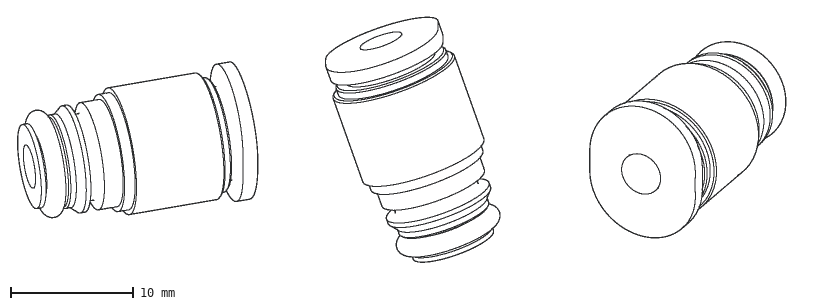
import cadquery as cq
import math


BORE_DIAMETER = 3.6
TIP_DIAMETER = 7.0
SEAL_GROOVE_DIAMETER = 5.6
SEAL_DIAMETER = 8.93
SEAL_SIDE_DIAMETER = 7.8
SEAL_WIDTH = 1.3
BARB_FRONT_DIAMETER = 7.8
SPIGOT_DIAMETER = 8.93
CLIP_GROOVE_DIAMETER = 7.2
STEP_DIAMETER = 9.75
BODY_DIAMETER = 10.55
COLLAR_DIAMETER = 9.55
NECK_DIAMETER = 7.75

TIP_END = 0.4
SEAL_GROOVE_END = 2.25
BARB_CONE_START = 2.87
BARB_CONE_END = 3.55
CLIP_GROOVE_START = 3.95
CLIP_GROOVE_END = 5.1
SPIGOT_END = 6.7
STEP_END = 7.6
BODY_END = 15.2
COLLAR_END = 15.9
FLANGE_START = 16.8
TOTAL_LENGTH = 18.3

SMALL_CHAMFER = 0.15
GROOVE_FILLET = 0.3

FLANGE_WIDTH = 9.75
FLANGE_HEIGHT = 11.8
FLANGE_FLAT_DIAMETER = 7.2
FLANGE_CONE_ANGLE = 10.0


def cylinder(diameter, start, end):
    """Solid cylinder on the Y axis between two Y positions."""
    return cq.Workplane("XZ", origin=(0, start, 0)).circle(diameter / 2).extrude(start - end)


def revolve_about_y(profile):
    """Turn a closed XY profile a full revolution about the Y axis."""
    return profile.revolve(360, (0, 0, 0), (0, 1, 0))


def make_spigot():
    """Front end: tip, seal groove, barb and clip groove."""
    tip_radius = TIP_DIAMETER / 2
    floor_radius = SEAL_GROOVE_DIAMETER / 2
    barb_radius = BARB_FRONT_DIAMETER / 2
    spigot_radius = SPIGOT_DIAMETER / 2
    groove_radius = CLIP_GROOVE_DIAMETER / 2
    return revolve_about_y(
        cq.Workplane("XY")
        .moveTo(0, 0)
        .lineTo(tip_radius, 0)
        .lineTo(tip_radius, TIP_END)
        .lineTo(floor_radius + GROOVE_FILLET, TIP_END)
        .radiusArc((floor_radius, TIP_END + GROOVE_FILLET), GROOVE_FILLET)
        .lineTo(floor_radius, SEAL_GROOVE_END - GROOVE_FILLET)
        .radiusArc((floor_radius + GROOVE_FILLET, SEAL_GROOVE_END), GROOVE_FILLET)
        .lineTo(barb_radius - SMALL_CHAMFER, SEAL_GROOVE_END)
        .lineTo(barb_radius, SEAL_GROOVE_END + SMALL_CHAMFER)
        .lineTo(barb_radius, BARB_CONE_START)
        .lineTo(spigot_radius, BARB_CONE_END)
        .lineTo(spigot_radius, CLIP_GROOVE_START)
        .lineTo(groove_radius + GROOVE_FILLET, CLIP_GROOVE_START)
        .radiusArc((groove_radius, CLIP_GROOVE_START + GROOVE_FILLET), GROOVE_FILLET)
        .lineTo(groove_radius, CLIP_GROOVE_END - GROOVE_FILLET)
        .radiusArc((groove_radius + GROOVE_FILLET, CLIP_GROOVE_END), GROOVE_FILLET)
        .lineTo(spigot_radius, CLIP_GROOVE_END)
        .lineTo(spigot_radius, SPIGOT_END)
        .lineTo(0, SPIGOT_END)
        .close()
    )


def make_seal():
    """Seal ring centred in its groove, with flat sides and a rounded rim."""
    centre_y = (TIP_END + SEAL_GROOVE_END) / 2
    front = centre_y - SEAL_WIDTH / 2
    rear = centre_y + SEAL_WIDTH / 2
    side_radius = SEAL_SIDE_DIAMETER / 2
    return revolve_about_y(
        cq.Workplane("XY")
        .moveTo(0, front)
        .lineTo(side_radius, front)
        .threePointArc((SEAL_DIAMETER / 2, centre_y), (side_radius, rear))
        .lineTo(0, rear)
        .close()
    )


def make_body():
    """Main barrel with its front step and rear collar."""
    step = cylinder(STEP_DIAMETER, SPIGOT_END, STEP_END)
    barrel = cylinder(BODY_DIAMETER, STEP_END, BODY_END).faces(">Y").chamfer(SMALL_CHAMFER)
    collar = cylinder(COLLAR_DIAMETER, BODY_END, COLLAR_END).faces(">Y").chamfer(SMALL_CHAMFER)
    return step.union(barrel).union(collar)


def make_neck():
    """Neck behind the collar, flared by a fillet where it meets the flange."""
    neck_radius = NECK_DIAMETER / 2
    return revolve_about_y(
        cq.Workplane("XY")
        .moveTo(0, COLLAR_END)
        .lineTo(neck_radius, COLLAR_END)
        .lineTo(neck_radius, FLANGE_START - GROOVE_FILLET)
        .radiusArc((neck_radius + GROOVE_FILLET, FLANGE_START), GROOVE_FILLET)
        .lineTo(0, FLANGE_START)
        .close()
    )


def make_flange():
    """Slot-shaped release flange, its rear edge trimmed by a cone about the Y axis."""
    plate = (
        cq.Workplane("XZ", origin=(0, FLANGE_START, 0))
        .slot2D(FLANGE_HEIGHT, FLANGE_WIDTH, 90)
        .extrude(FLANGE_START - TOTAL_LENGTH)
    )
    flat_radius = FLANGE_FLAT_DIAMETER / 2
    rim_radius = FLANGE_HEIGHT / 2
    cone_drop = (rim_radius - flat_radius) * math.tan(math.radians(FLANGE_CONE_ANGLE))
    envelope = revolve_about_y(
        cq.Workplane("XY")
        .moveTo(0, FLANGE_START)
        .lineTo(rim_radius, FLANGE_START)
        .lineTo(rim_radius, TOTAL_LENGTH - cone_drop)
        .lineTo(flat_radius, TOTAL_LENGTH)
        .lineTo(0, TOTAL_LENGTH)
        .close()
    )
    return plate.intersect(envelope)


fitting = make_spigot().union(make_seal()).union(make_body()).union(make_neck()).union(make_flange())
result = fitting.cut(cylinder(BORE_DIAMETER, 0, TOTAL_LENGTH))